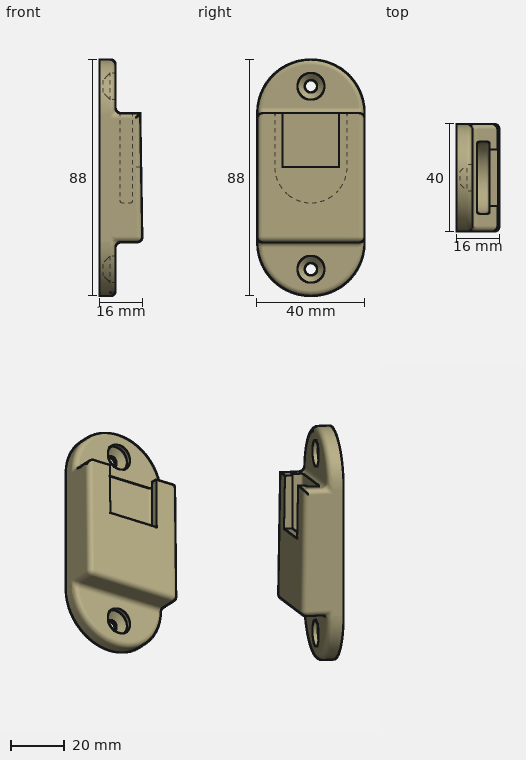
import cadquery as cq

plate_width = 40.0
plate_height = 88.0
plate_thickness = 6.0

block_height = plate_height - plate_width
block_bottom_depth = 16.0
block_top_depth = 15.2
edge_radius = 2.0

screw_diameter = 4.5
screw_head_diameter = 10.0
screw_shank_length = 1.25
screw_spacing = 68.0

disc_radius = 13.4
disc_thickness = 4.7
disc_edge_radius = 1.0
disc_center_x = 10.0
disc_depth = 20.0

notch_width = 21.0

block_top = block_height / 2
block_bottom = -block_top
disc_center_z = block_top - disc_depth

pick_margin = 0.1


def edge_slab(x_min, x_max, z_min, z_max):
    """Selector for edges whose centers lie in a box spanning the full plate width."""
    return cq.selectors.BoxSelector((x_min, -plate_width, z_min), (x_max, plate_width, z_max))


def make_plate():
    return (
        cq.Workplane("YZ")
        .slot2D(plate_height, plate_width, 90)
        .extrude(plate_thickness)
        .faces(">X")
        .edges()
        .fillet(edge_radius)
    )


def make_block():
    """Block with rounded edges; the top edge of its tilted front face stays sharp."""
    block = (
        cq.Workplane("XZ")
        .moveTo(0, block_bottom)
        .lineTo(block_bottom_depth, block_bottom)
        .lineTo(block_top_depth, block_top)
        .lineTo(0, block_top)
        .close()
        .extrude(plate_width / 2, both=True)
    )
    front_edges = edge_slab(pick_margin, block_bottom_depth + pick_margin, -block_height, block_height)
    top_front_edge = edge_slab(
        block_top_depth - pick_margin,
        block_top_depth + pick_margin,
        block_top - pick_margin,
        block_top + pick_margin,
    )
    return block.edges(front_edges - top_front_edge).fillet(edge_radius)


def make_backing():
    """Square-edged layer that fills the rounded block edges behind the plate rounding."""
    depth = plate_thickness - edge_radius
    return cq.Workplane("XY").box(depth, plate_width, block_height, centered=(False, True, True))


def make_body():
    body = make_plate().union(make_block()).union(make_backing())
    inside_corners = edge_slab(
        plate_thickness - pick_margin,
        plate_thickness + pick_margin,
        block_bottom - pick_margin,
        block_top + pick_margin,
    )
    return body.edges(inside_corners).fillet(edge_radius)


def make_disc_pocket():
    """U-shaped slot with a half-round bottom and rounded rims, running out through the top."""
    return (
        cq.Workplane("YZ", origin=(disc_center_x - disc_thickness / 2, 0, disc_center_z))
        .moveTo(-disc_radius, 0)
        .threePointArc((0, -disc_radius), (disc_radius, 0))
        .lineTo(disc_radius, plate_height)
        .lineTo(-disc_radius, plate_height)
        .close()
        .extrude(disc_thickness)
        .edges("<X or >X")
        .fillet(disc_edge_radius)
    )


def make_notch():
    return (
        cq.Workplane("XY", origin=(disc_center_x, 0, disc_center_z))
        .box(block_bottom_depth, notch_width, plate_height, centered=(False, True, False))
    )


def make_screw_hole(z):
    """Through hole widening in a 45 degree cone to a cylindrical head recess."""
    shank = screw_diameter / 2
    head = screw_head_diameter / 2
    seat_end = screw_shank_length + head - shank
    return (
        cq.Workplane("XY")
        .lineTo(0, shank)
        .lineTo(screw_shank_length, shank)
        .lineTo(seat_end, head)
        .lineTo(block_bottom_depth, head)
        .lineTo(block_bottom_depth, 0)
        .close()
        .revolve(360, (0, 0, 0), (1, 0, 0))
        .translate((0, 0, z))
    )


result = make_body().cut(make_disc_pocket()).cut(make_notch())
for screw_z in (-screw_spacing / 2, screw_spacing / 2):
    result = result.cut(make_screw_hole(screw_z))